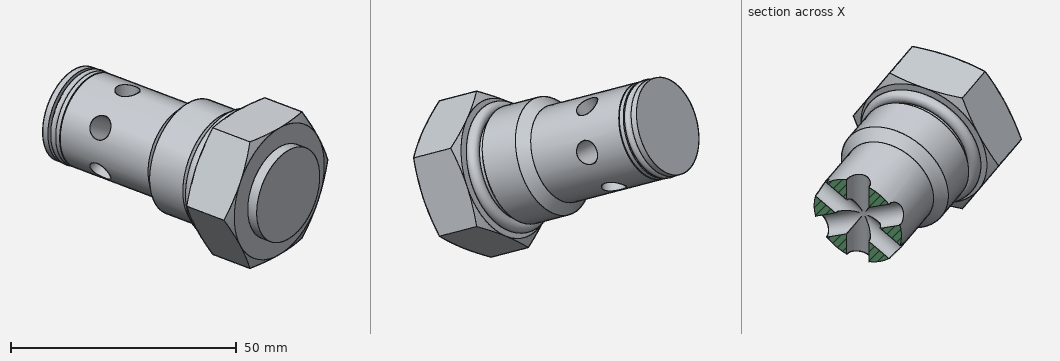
import cadquery as cq
import math


NOSE_FLANGE_LENGTH = 1.52
NOSE_GROOVE_END = 5.04
CROSS_HOLE_X = 15.24
LAND_CONE_START = 30.02
LAND_CHAMFER_START = 41.86
LAND_END = 42.79
HEX_START = 45.95
HEX_END = 58.42
TOTAL_LENGTH = 60.96

NOSE_DIAMETER = 22.17
NOSE_GROOVE_DIAMETER = 19.43
LAND_DIAMETER = 26.98
HEAD_GLAND_DIAMETER = 24.05
BOSS_DIAMETER = 22.23
CROSS_HOLE_DIAMETER = 5.54
CROSS_HOLE_COUNT = 3

HEX_ACROSS_FLATS = 31.75
HEX_ACROSS_CORNERS = HEX_ACROSS_FLATS / math.cos(math.radians(30))
HEX_CHAMFER_LENGTH = 0.95

NOSE_RING_SECTION = 1.78
NOSE_RING_OUTER_DIAMETER = 22.45
BACKUP_RING_START = 3.75
BACKUP_RING_END = 4.86
HEAD_RING_SECTION = 2.93

LAND_CONE_LENGTH = (LAND_DIAMETER - NOSE_DIAMETER) / 2
NOSE_RING_X = BACKUP_RING_START - NOSE_RING_SECTION / 2
HEAD_RING_X = HEX_START - HEAD_RING_SECTION / 2


def revolve_profile(points):
    """Turn a closed (x, radius) outline about the X axis."""
    return cq.Workplane("XY").polyline(points).close().revolve(360, (0, 0, 0), (1, 0, 0))


def cylinder(start, end, diameter):
    """Cylinder on the X axis between two stations."""
    return cq.Workplane("YZ", origin=(start, 0, 0)).circle(diameter / 2).extrude(end - start)


def torus(center_x, center_diameter, section):
    """Ring of circular section around the X axis."""
    tube_center = cq.Vector(center_x, center_diameter / 2, 0)
    profile = cq.Workplane("XY", origin=tube_center).circle(section / 2)
    axis_start = (0, -tube_center.y, 0)
    axis_end = (1, -tube_center.y, 0)
    return profile.revolve(360, axis_start, axis_end)


def make_turned_body():
    nose = NOSE_DIAMETER / 2
    groove = NOSE_GROOVE_DIAMETER / 2
    land = LAND_DIAMETER / 2
    gland = HEAD_GLAND_DIAMETER / 2
    boss = BOSS_DIAMETER / 2
    return revolve_profile([
        (0, 0),
        (0, nose),
        (NOSE_FLANGE_LENGTH, nose),
        (NOSE_FLANGE_LENGTH, groove),
        (NOSE_GROOVE_END, groove),
        (NOSE_GROOVE_END, nose),
        (LAND_CONE_START, nose),
        (LAND_CONE_START + LAND_CONE_LENGTH, land),
        (LAND_CHAMFER_START, land),
        (LAND_END, gland),
        (HEX_START, gland),
        (HEX_START, boss),
        (TOTAL_LENGTH, boss),
        (TOTAL_LENGTH, 0),
    ])


def make_hex_head():
    """Hexagon with corners on Y, bevelled on both faces down to the inscribed circle."""
    hexagon = (
        cq.Workplane("YZ", origin=(HEX_START, 0, 0))
        .polygon(6, HEX_ACROSS_CORNERS)
        .extrude(HEX_END - HEX_START)
    )
    flat = HEX_ACROSS_FLATS / 2
    corner = HEX_ACROSS_CORNERS / 2
    bevel_envelope = revolve_profile([
        (HEX_START, 0),
        (HEX_START, flat),
        (HEX_START + HEX_CHAMFER_LENGTH, corner),
        (HEX_END - HEX_CHAMFER_LENGTH, corner),
        (HEX_END, flat),
        (HEX_END, 0),
    ])
    return hexagon.intersect(bevel_envelope)


def cut_cross_holes(body):
    for index in range(CROSS_HOLE_COUNT):
        hole = (
            cq.Workplane("XY", origin=(CROSS_HOLE_X, 0, 0))
            .circle(CROSS_HOLE_DIAMETER / 2)
            .extrude(NOSE_DIAMETER, both=True)
            .rotate((0, 0, 0), (1, 0, 0), index * 180 / CROSS_HOLE_COUNT)
        )
        body = body.cut(hole)
    return body


def make_housing():
    return cut_cross_holes(make_turned_body().union(make_hex_head()))


def make_nose_ring():
    """O-ring in the nose groove, flattened where it seats on the groove floor."""
    ring = torus(NOSE_RING_X, NOSE_RING_OUTER_DIAMETER - NOSE_RING_SECTION, NOSE_RING_SECTION)
    return ring.cut(cylinder(0, NOSE_GROOVE_END, NOSE_GROOVE_DIAMETER))


def make_backup_ring():
    ring = cylinder(BACKUP_RING_START, BACKUP_RING_END, NOSE_DIAMETER)
    return ring.cut(cylinder(BACKUP_RING_START, BACKUP_RING_END, NOSE_GROOVE_DIAMETER))


def make_head_ring():
    """O-ring under the hex head, its bore touching the gland floor."""
    return torus(HEAD_RING_X, HEAD_GLAND_DIAMETER + HEAD_RING_SECTION, HEAD_RING_SECTION)


housing = make_housing()
nose_ring = make_nose_ring()
backup_ring = make_backup_ring()
head_ring = make_head_ring()

result = cq.Compound.makeCompound([
    housing.solids().val(),
    nose_ring.solids().val(),
    backup_ring.solids().val(),
    head_ring.solids().val(),
])